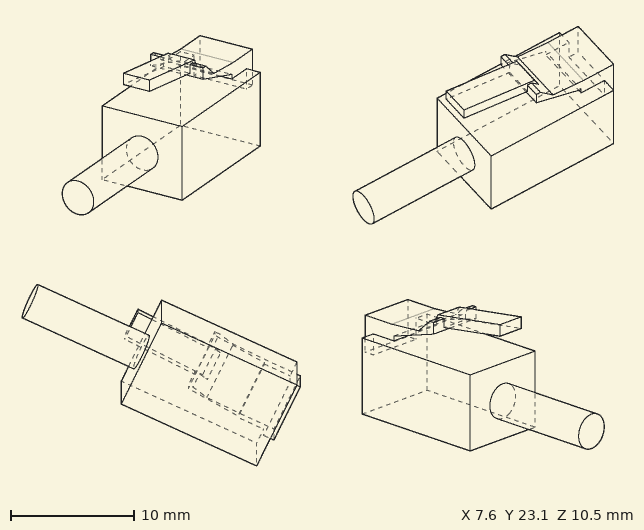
import cadquery as cq

body_width = 7.6
body_length = 12.17
body_height = 6.6

cable_diameter = 3.0
cable_length = 10.0

clip_width = 5.0
overall_length = 23.1
clip_back_y = overall_length - cable_length
clip_bottom_z = -1.82
clip_top_z = 1.39
clip_root_y = 9.86
clip_root_z = 0.42
flat_end_y = 10.1
ramp_start_y = 7.07
ramp_start_z = 1.62
ramp_end_y = 5.82
ramp_end_z = 2.77
clip_tip_y = 5.4
clip_tip_bottom_z = 1.75

lever_width = clip_width / 2
lever_foot_y = 6.51
lever_top_start_y = 6.1
lever_top_start_z = 2.9
lever_tip_y = -0.9
lever_tip_top_z = 3.9
lever_tip_bottom_z = 2.89
lever_root_bottom_z = 1.99

ramp_slope = (ramp_end_z - ramp_start_z) / (ramp_end_y - ramp_start_y)
lever_foot_z = ramp_start_z + ramp_slope * (lever_foot_y - ramp_start_y)


def extrude_profile(points, width):
    """Extrude a closed (Y, Z) outline symmetrically about X = 0."""
    return cq.Workplane("YZ").polyline(points).close().extrude(width / 2, both=True)


def make_body():
    return cq.Workplane("XY").box(
        body_width, body_length, body_height, centered=(True, False, False)
    ).translate((0, 0, -body_height))


def make_cable():
    return (
        cq.Workplane("XZ")
        .center(0, -body_height / 2)
        .circle(cable_diameter / 2)
        .extrude(cable_length)
    )


def make_clip():
    outline = [
        (clip_back_y, clip_bottom_z),
        (clip_back_y, clip_top_z),
        (flat_end_y, clip_top_z),
        (ramp_start_y, ramp_start_z),
        (ramp_end_y, ramp_end_z),
        (clip_tip_y, ramp_end_z),
        (clip_tip_y, clip_tip_bottom_z),
        (clip_root_y, clip_root_z),
        (clip_root_y, clip_bottom_z),
    ]
    return extrude_profile(outline, clip_width)


def make_lever():
    outline = [
        (lever_foot_y, lever_foot_z),
        (lever_top_start_y, lever_top_start_z),
        (lever_tip_y, lever_tip_top_z),
        (lever_tip_y, lever_tip_bottom_z),
        (clip_tip_y, lever_root_bottom_z),
    ]
    return extrude_profile(outline, lever_width)


result = make_body().union(make_cable()).union(make_clip()).union(make_lever())